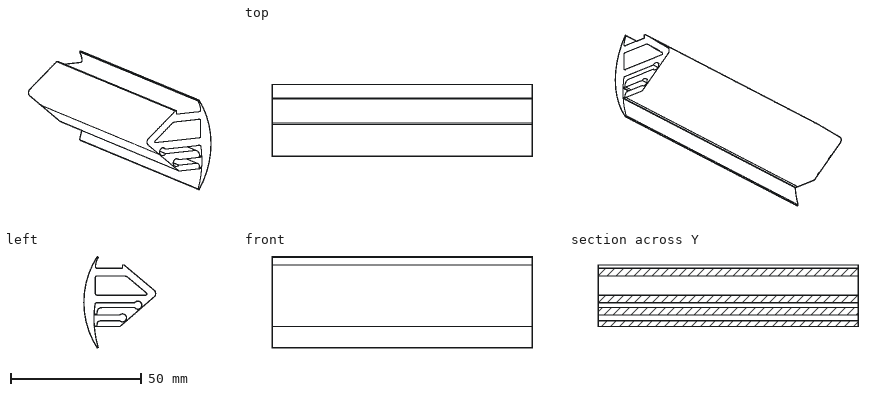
import cadquery as cq
import math

length = 100.0
depth = 27.7
height = 35.3

lip_depth = 5.6
lip_shoulder_depth = 5.2
tip_height = height / 2
lip_inner_height = 17.3
upper_lip_middle_depth = 4.8
upper_lip_middle = 15.3
cover_thickness = 4.5
lower_back_thickness = 4.0
lower_back_middle = -6.5

upper_angle = math.radians(40)
lower_angle = math.radians(41)
upper_slope = math.tan(upper_angle)
lower_slope = math.tan(lower_angle)
web_thickness = 3.0
upper_web_top = 13.1
upper_web_bottom = upper_web_top - web_thickness
lower_web_top = 2.8
lower_web_bottom = lower_web_top - web_thickness
catch_depth = 14.9
catch_width = 0.6
catch_top = 14.4
body_start = 3.0
body_bottom = -9.4
nose_radius = 1.7
apex_to_centre = (
    nose_radius
    * (1 / math.cos(upper_angle) + 1 / math.cos(lower_angle))
    / (upper_slope + lower_slope)
)
apex_depth = depth - nose_radius + apex_to_centre
apex_height = catch_top - (apex_depth - catch_depth - catch_width) * upper_slope
body_bottom_depth = apex_depth - (apex_height - body_bottom) / lower_slope
bottom_corner_radius = 0.5
corner_radius = 0.6

chamber_top_depth = 16.3
chamber_tip_depth = chamber_top_depth + (upper_web_bottom - lower_web_top) / upper_slope
chamber_bend_radius = 2.0
chamber_tip_radius = 0.4

fin_start = 5.1
skin_thickness = 0.3
first_slot_bottom = -2.0
first_fin_bottom = -4.9
second_slot_bottom = -7.1
first_bulb_depth = 20.8
second_bulb_depth = 14.9
bulb_radius = 1.5
first_fin_radius = 1.9
second_fin_radius = 1.3


def extrude_outline(points):
    """Extrude a closed polygon of (depth, height) points along X."""
    outline = [(-d, z) for d, z in points]
    return cq.Workplane("YZ").polyline(outline).close().extrude(length)


def round_edge(solid, d, z, radius):
    """Round the lengthwise edge passing through (depth, height)."""
    edge = solid.edges("|X").edges(cq.selectors.NearestToPointSelector((length / 2, -d, z)))
    return solid.newObject(edge.vals()).fillet(radius)


def make_cover():
    return (
        cq.Workplane("YZ")
        .moveTo(-lip_shoulder_depth, tip_height)
        .threePointArc((0, 0), (-lip_shoulder_depth, -tip_height))
        .lineTo(-lip_depth, -lip_inner_height)
        .threePointArc((-lower_back_thickness, lower_back_middle), (-cover_thickness, lower_web_bottom))
        .lineTo(-cover_thickness, upper_web_top)
        .threePointArc((-upper_lip_middle_depth, upper_lip_middle), (-lip_depth, lip_inner_height))
        .close()
        .extrude(length)
    )


def make_body():
    body = extrude_outline([
        (body_start, upper_web_top),
        (catch_depth, upper_web_top),
        (catch_depth, catch_top),
        (catch_depth + catch_width, catch_top),
        (apex_depth, apex_height),
        (body_bottom_depth, body_bottom),
        (body_start, body_bottom),
    ])
    body = round_edge(body, apex_depth, apex_height, nose_radius)
    return round_edge(body, body_bottom_depth, body_bottom, bottom_corner_radius)


def make_chamber():
    chamber = extrude_outline([
        (cover_thickness, upper_web_bottom),
        (chamber_top_depth, upper_web_bottom),
        (chamber_tip_depth, lower_web_top),
        (cover_thickness, lower_web_top),
    ])
    chamber = round_edge(chamber, chamber_top_depth, upper_web_bottom, chamber_bend_radius)
    chamber = round_edge(chamber, chamber_tip_depth, lower_web_top, chamber_tip_radius)
    for z in (upper_web_bottom, lower_web_top):
        chamber = round_edge(chamber, cover_thickness, z, corner_radius)
    return chamber


def make_slot(top, bottom, fin_bottom, bulb_depth, fin_radius):
    """Slot above a fin, its end bulb and the gap in front of the fin's rounded corner."""
    opening = extrude_outline([
        (body_start, top),
        (bulb_depth, top),
        (bulb_depth, fin_bottom + skin_thickness),
        (body_start, fin_bottom + skin_thickness),
    ])
    fin = extrude_outline([
        (fin_start, bottom),
        (bulb_depth, bottom),
        (bulb_depth, fin_bottom),
        (fin_start, fin_bottom),
    ])
    fin = round_edge(fin, fin_start, bottom, fin_radius)
    bulb = (
        cq.Workplane("YZ")
        .center(-bulb_depth, (top + bottom) / 2)
        .circle(bulb_radius)
        .extrude(length)
    )
    return opening.cut(fin).union(bulb)


cover = make_cover()
first_slot = make_slot(
    lower_web_bottom, first_slot_bottom, first_fin_bottom, first_bulb_depth, first_fin_radius
)
second_slot = make_slot(
    first_fin_bottom, second_slot_bottom, body_bottom, second_bulb_depth, second_fin_radius
)
body = make_body().cut(first_slot).cut(second_slot)
result = cover.union(body).cut(make_chamber())

for web_face in (upper_web_top, lower_web_bottom):
    result = round_edge(result, cover_thickness, web_face, corner_radius)